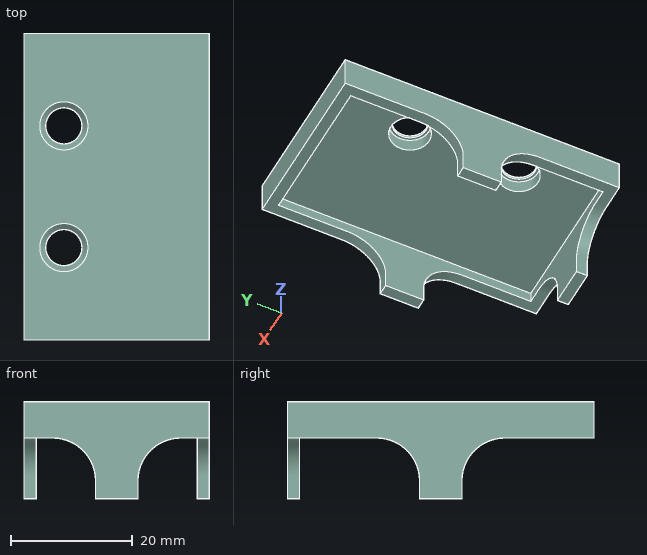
import cadquery as cq

length = 50.4
width = 30.5
plate_thickness = 6.0
total_height = 16.0

rim_thickness = 2.0
floor_thickness = 4.0

leg_thickness = rim_thickness
leg_width = 7.0
flare_radius = 7.0

countersink_diameter = 7.9
countersink_depth = 1.0
throat_diameter = 5.9
throat_depth = 0.5
bore_diameter = 7.0
hole_spacing = 20.0
hole_edge_distance = 6.55


def flared_leg():
    """Leg in the XZ plane, outer face at Y = 0, extending toward +Y."""
    half_width = leg_width / 2
    flare_end = half_width + flare_radius
    flare_bottom = -plate_thickness - flare_radius
    return (
        cq.Workplane("XZ")
        .moveTo(-half_width, -total_height)
        .lineTo(half_width, -total_height)
        .lineTo(half_width, flare_bottom)
        .radiusArc((flare_end, -plate_thickness), flare_radius)
        .lineTo(flare_end, 0)
        .lineTo(-flare_end, 0)
        .lineTo(-flare_end, -plate_thickness)
        .radiusArc((-half_width, flare_bottom), flare_radius)
        .close()
        .extrude(-leg_thickness)
    )


plate = cq.Workplane("XY").rect(width, length).extrude(-plate_thickness)
recess = (
    cq.Workplane("XY", origin=(0, 0, -plate_thickness))
    .rect(width - 2 * rim_thickness, length - 2 * rim_thickness)
    .extrude(plate_thickness - floor_thickness)
)
plate = plate.cut(recess)

result = plate.union(flared_leg().translate((0, -length / 2, 0)))
for side in (-1, 1):
    side_leg = flared_leg().rotate((0, 0, 0), (0, 0, 1), side * 90)
    result = result.union(side_leg.translate((side * width / 2, 0, 0)))


def screw_hole():
    """Stepped hole as a solid of revolution, its axis on Z and its top at Z = 0."""
    throat_radius = throat_diameter / 2
    bore_radius = bore_diameter / 2
    countersink_radius = countersink_diameter / 2
    bore_top = -countersink_depth - throat_depth
    return (
        cq.Workplane("XZ")
        .lineTo(countersink_radius, 0)
        .lineTo(throat_radius, -countersink_depth)
        .lineTo(throat_radius, bore_top)
        .lineTo(bore_radius, bore_top)
        .lineTo(bore_radius, -floor_thickness)
        .lineTo(0, -floor_thickness)
        .close()
        .revolve(360, (0, 0), (0, 1))
    )


hole_x = -width / 2 + hole_edge_distance
for hole_y in (-hole_spacing / 2, hole_spacing / 2):
    result = result.cut(screw_hole().translate((hole_x, hole_y, 0)))